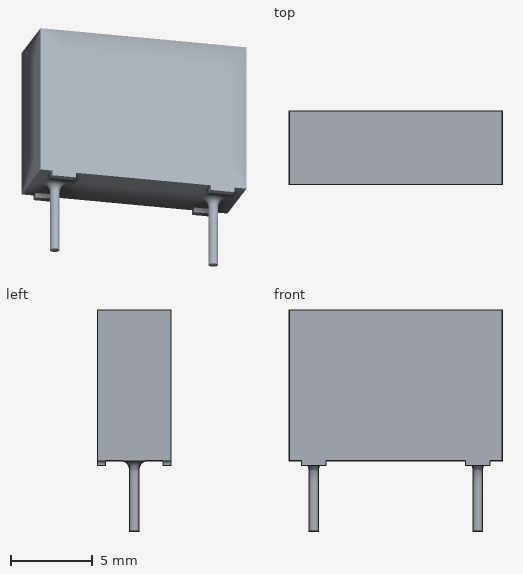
import cadquery as cq

body_length = 13.0
body_width = 4.5
overall_height = 13.5

foot_height = 0.3
foot_length = 1.5
foot_width = 0.5

lead_pitch = 10.0
lead_diameter = 0.6
lead_below_seat = 4.0
meniscus_radius = 0.5

body_height = overall_height - lead_below_seat - foot_height
lead_radius = lead_diameter / 2
lead_positions = (-lead_pitch / 2, lead_pitch / 2)


def make_body():
    """Plain rectangular case, standing on top of the feet."""
    return (
        cq.Workplane("XY")
        .workplane(offset=foot_height)
        .rect(body_length, body_width)
        .extrude(body_height)
    )


def make_feet():
    """Pads beside each lead, flush with the long sides of the case."""
    foot_y = (body_width - foot_width) / 2
    centers = [(x, y) for x in lead_positions for y in (-foot_y, foot_y)]
    return (
        cq.Workplane("XY")
        .pushPoints(centers)
        .rect(foot_length, foot_width)
        .extrude(foot_height)
    )


def make_lead(x):
    """Round lead at position x, flared by a concave quarter arc up to the case."""
    body_bottom = foot_height
    flare_bottom = body_bottom - meniscus_radius
    flare_radius = lead_radius + meniscus_radius
    profile = (
        cq.Workplane("XZ")
        .moveTo(0, -lead_below_seat)
        .lineTo(lead_radius, -lead_below_seat)
        .lineTo(lead_radius, flare_bottom)
        .radiusArc((flare_radius, body_bottom), meniscus_radius)
        .lineTo(0, body_bottom)
        .close()
    )
    return profile.revolve(360, (0, 0, 0), (0, 1, 0)).translate((x, 0, 0))


result = make_body().union(make_feet())
for lead_x in lead_positions:
    result = result.union(make_lead(lead_x))